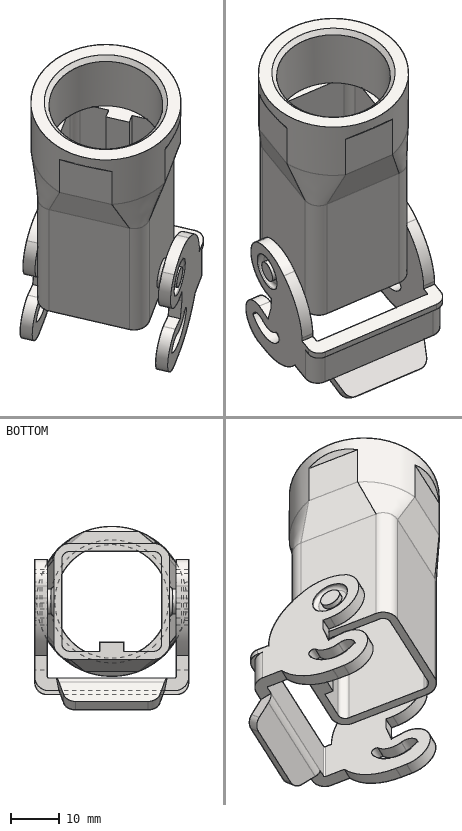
import cadquery as cq
import math

HOOD_TOP_Z = 75.7
FLAT_TOP_Z = 71.8
COLLAR_BOTTOM_Z = 61.15
SQUARE_TOP_Z = 51.6
HOOD_BOTTOM_Z = 18.6

COLLAR_RADIUS = 15.6
FLAT_DISTANCE = 14.5
SQUARE_HALF = 12.0
SQUARE_CORNER_RADIUS = 3.3
WALL = 1.7
BORE_RADIUS = 11.8
BORE_CHAMFER = 1.0
BORE_BOTTOM_Z = 60.2
KEY_WIDTH = 5.1
KEY_HEIGHT = 1.9

CLAMP_WIDTH = 32.0
CLAMP_HALF_WIDTH = CLAMP_WIDTH / 2
SHEET = 2.65
INNER_BEND_RADIUS = 0.3
OUTER_BEND_RADIUS = INNER_BEND_RADIUS + SHEET
BACK_OUTER_Y = 18.55
BACK_INNER_Y = BACK_OUTER_Y - SHEET
BACK_JOIN_Y = 12.9
BACK_BOTTOM_Z = 6.3
BACK_TOP_Z = 16.3
RIM_THICKNESS = 1.5
RIM_OUTER_Y = 19.4
RIM_CORNER_RADIUS = 2.6

PIVOT_Z = 24.3
EYE_RADIUS = 6.65
EYE_END_Y = -3.9
CREST_Y = 1.1
CREST_Z = 31.0
SHOULDER_START = (6.8, 29.2)
SHOULDER_MID = (11.7, 24.6)
SHOULDER_END = (14.2, 17.2)
BELLY_Y = -0.7
BELLY_RADIUS = 14.45
HOOK_Y = -3.2
HOOK_RADIUS = 5.5
HOOK_SLOT_RADIUS = 2.7
THROAT_Y = 1.6
THROAT_BEND_Z = 14.75
HOOK_ROOT = (0.4, 10.4)

SLOT_TIP = (-5.75, 6.2)
SLOT_BELLY = (-1.6, 4.0)
SLOT_LOW_END = (4.9, 8.1)
SLOT_END = (4.6, 9.0)
SLOT_HIGH_END = (3.5, 9.15)
SLOT_BUMP = (0.15, 7.5)
SLOT_JOIN = (-2.0, 7.95)

PIN_RADIUS = 2.6
PIN_ROOT_FLARE = 0.6
PIN_END_RADIUS = 2.2
RECESS_RADIUS = 4.0
RECESS_FILLET = 0.8
RECESS_DEPTH = 1.1

TAB_SLOPE = 42.0
TAB_LENGTH = 5.4
TAB_ROOT_HALF_WIDTH = 11.5
TAB_END_HALF_WIDTH = 9.45
TAB_CORNER_RADIUS = 2.5


def flatted_circle(z):
    """Circle with four flats, drawn counter-clockwise."""
    half = math.sqrt(COLLAR_RADIUS**2 - FLAT_DISTANCE**2)
    return eight_sided_outline(z, FLAT_DISTANCE, half, COLLAR_RADIUS / math.sqrt(2))


def rounded_square(z):
    """Square with round corners, drawn counter-clockwise."""
    half = SQUARE_HALF - SQUARE_CORNER_RADIUS
    return eight_sided_outline(z, SQUARE_HALF, half, half + SQUARE_CORNER_RADIUS / math.sqrt(2))


def eight_sided_outline(z, side, half, diagonal):
    """Four straight sides joined by corner arcs that pass through (diagonal, diagonal)."""
    edges = []
    for quarter in range(4):
        turn = quarter * 90
        points = [(side, -half, z), (side, half, z), (diagonal, diagonal, z), (half, side, z)]
        corners = [cq.Vertex.makeVertex(*p).rotate((0, 0, 0), (0, 0, 1), turn).Center() for p in points]
        edges.append(cq.Edge.makeLine(corners[0], corners[1]))
        edges.append(cq.Edge.makeThreePointArc(corners[1], corners[2], corners[3]))
    return cq.Wire.assembleEdges(edges)


def make_collar():
    """Round collar; each flat ends at the top in a 45 degree ceiling."""
    collar = cq.Workplane("XY", origin=(0, 0, COLLAR_BOTTOM_Z)).circle(COLLAR_RADIUS)
    collar = collar.extrude(HOOD_TOP_Z - COLLAR_BOTTOM_Z)
    reach = 2 * (COLLAR_RADIUS - FLAT_DISTANCE)
    flat = (
        cq.Workplane("XZ")
        .moveTo(FLAT_DISTANCE, COLLAR_BOTTOM_Z)
        .lineTo(FLAT_DISTANCE, FLAT_TOP_Z)
        .line(reach, reach)
        .lineTo(FLAT_DISTANCE + reach, COLLAR_BOTTOM_Z)
        .close()
        .extrude(COLLAR_RADIUS, both=True)
    )
    for quarter in range(4):
        collar = collar.cut(flat.rotate((0, 0, 0), (0, 0, 1), quarter * 90))
    return collar


def make_hood():
    """Hollow hood, round at the top and square below, with a key rib inside."""
    transition = cq.Solid.makeLoft([rounded_square(SQUARE_TOP_Z), flatted_circle(COLLAR_BOTTOM_Z)], True)
    tube_height = SQUARE_TOP_Z - HOOD_BOTTOM_Z
    tube = cq.Workplane("XY", origin=(0, 0, HOOD_BOTTOM_Z)).rect(2 * SQUARE_HALF, 2 * SQUARE_HALF)
    tube = tube.extrude(tube_height).edges("|Z").fillet(SQUARE_CORNER_RADIUS)
    hood = make_collar().union(cq.Workplane(transition)).union(tube)

    bore = cq.Workplane("XY", origin=(0, 0, BORE_BOTTOM_Z)).circle(BORE_RADIUS)
    bore = bore.extrude(HOOD_TOP_Z - BORE_BOTTOM_Z)
    mouth = cq.Solid.makeCone(
        BORE_RADIUS, BORE_RADIUS + BORE_CHAMFER, BORE_CHAMFER, cq.Vector(0, 0, HOOD_TOP_Z - BORE_CHAMFER)
    )
    cavity_half = SQUARE_HALF - WALL
    cavity_height = BORE_BOTTOM_Z - HOOD_BOTTOM_Z
    cavity = cq.Workplane("XY", origin=(0, 0, HOOD_BOTTOM_Z)).rect(2 * cavity_half, 2 * cavity_half)
    cavity = cavity.extrude(cavity_height).edges("|Z").fillet(SQUARE_CORNER_RADIUS - WALL)
    key = cq.Workplane("XY", origin=(0, cavity_half - KEY_HEIGHT / 2, HOOD_BOTTOM_Z))
    key = key.rect(KEY_WIDTH, KEY_HEIGHT).extrude(cavity_height)
    return hood.cut(bore).cut(cq.Workplane(mouth)).cut(cavity.cut(key))


def make_lever():
    """Side lever at -X, from the back wall to the hook."""
    eye_end = (EYE_END_Y, PIVOT_Z + math.sqrt(EYE_RADIUS**2 - EYE_END_Y**2))
    diagonal = math.sqrt(0.5)
    belly_start_y = BELLY_Y + math.sqrt(BELLY_RADIUS**2 - (BELLY_RADIUS - BACK_BOTTOM_Z) ** 2)
    belly_mid = (BELLY_Y + BELLY_RADIUS * diagonal, BELLY_RADIUS * (1 - diagonal))
    outline = (
        cq.Workplane("YZ", origin=(-CLAMP_HALF_WIDTH, 0, 0))
        .moveTo(0, PIVOT_Z - EYE_RADIUS)
        .threePointArc((-EYE_RADIUS, PIVOT_Z), eye_end)
        .threePointArc((CREST_Y, CREST_Z), SHOULDER_START)
        .threePointArc(SHOULDER_MID, SHOULDER_END)
        .lineTo(SHOULDER_END[0], BACK_TOP_Z)
        .lineTo(BACK_OUTER_Y - OUTER_BEND_RADIUS, BACK_TOP_Z)
        .lineTo(BACK_OUTER_Y - OUTER_BEND_RADIUS, BACK_BOTTOM_Z)
        .lineTo(belly_start_y, BACK_BOTTOM_Z)
        .threePointArc(belly_mid, (BELLY_Y, 0))
        .lineTo(HOOK_Y, 0)
        .threePointArc((HOOK_Y - HOOK_RADIUS, HOOK_RADIUS), (HOOK_Y, 2 * HOOK_RADIUS))
        .lineTo(*HOOK_ROOT)
        .lineTo(THROAT_Y, THROAT_BEND_Z)
        .lineTo(THROAT_Y, PIVOT_Z - EYE_RADIUS)
        .close()
        .extrude(SHEET)
    )
    slot = (
        cq.Workplane("YZ", origin=(-CLAMP_HALF_WIDTH, 0, 0))
        .moveTo(*SLOT_TIP)
        .threePointArc(SLOT_BELLY, SLOT_LOW_END)
        .threePointArc(SLOT_END, SLOT_HIGH_END)
        .threePointArc(SLOT_BUMP, SLOT_JOIN)
        .threePointArc((HOOK_Y, HOOK_RADIUS + HOOK_SLOT_RADIUS), SLOT_TIP)
        .close()
        .extrude(SHEET)
    )
    recess = (
        cq.Workplane("YZ", origin=(-CLAMP_HALF_WIDTH, 0, 0))
        .center(0, PIVOT_Z)
        .circle(RECESS_RADIUS)
        .extrude(RECESS_DEPTH)
        .faces(">X")
        .edges()
        .fillet(RECESS_FILLET)
    )
    return outline.cut(slot).cut(recess)


def make_pin():
    """Pivot at -X: flared at the hood wall, slimmer in the recess, flush with the lever."""
    floor_x = -CLAMP_HALF_WIDTH + RECESS_DEPTH
    return (
        cq.Workplane("XZ")
        .moveTo(-SQUARE_HALF + WALL / 2, PIVOT_Z)
        .lineTo(-SQUARE_HALF + WALL / 2, PIVOT_Z + PIN_RADIUS + PIN_ROOT_FLARE)
        .lineTo(-SQUARE_HALF, PIVOT_Z + PIN_RADIUS + PIN_ROOT_FLARE)
        .lineTo(-SQUARE_HALF - PIN_ROOT_FLARE, PIVOT_Z + PIN_RADIUS)
        .lineTo(floor_x, PIVOT_Z + PIN_RADIUS)
        .lineTo(floor_x, PIVOT_Z + PIN_END_RADIUS)
        .lineTo(-CLAMP_HALF_WIDTH, PIVOT_Z + PIN_END_RADIUS)
        .lineTo(-CLAMP_HALF_WIDTH, PIVOT_Z)
        .close()
        .revolve(360, (0, PIVOT_Z, 0), (1, PIVOT_Z, 0))
    )


def rounded_plate(half, outer_y, radius, bottom_z, height):
    """Flat block from inside the levers to outer_y, with its two outer corners rounded."""
    depth = outer_y - BACK_JOIN_Y
    plate = cq.Workplane("XY", origin=(0, outer_y - depth / 2, bottom_z))
    return plate.rect(2 * half, depth).extrude(height).edges("|Z and >Y").fillet(radius)


def make_back_wall():
    """Wall bent into the two levers, with a rim along its top edge."""
    wall_height = BACK_TOP_Z - BACK_BOTTOM_Z
    inner_half = CLAMP_HALF_WIDTH - SHEET
    rim_bottom_z = BACK_TOP_Z - RIM_THICKNESS
    wall = rounded_plate(CLAMP_HALF_WIDTH, BACK_OUTER_Y, OUTER_BEND_RADIUS, BACK_BOTTOM_Z, wall_height)
    rim = rounded_plate(CLAMP_HALF_WIDTH, RIM_OUTER_Y, RIM_CORNER_RADIUS, rim_bottom_z, RIM_THICKNESS)
    opening = rounded_plate(inner_half, BACK_INNER_Y, INNER_BEND_RADIUS, BACK_BOTTOM_Z, wall_height)
    return wall.union(rim).cut(opening)


def make_tab():
    """Sheet bent outwards below the wall, tapering to a round-cornered end."""
    slope = math.radians(TAB_SLOPE)
    out_y, out_z = math.cos(slope), -math.sin(slope)
    hinge = (BACK_OUTER_Y, BACK_BOTTOM_Z)
    end = (hinge[0] + TAB_LENGTH * out_y, hinge[1] + TAB_LENGTH * out_z)
    under_end = (end[0] + SHEET * out_z, end[1] - SHEET * out_y)
    under_hinge = (hinge[0] + SHEET * out_z, hinge[1] - SHEET * out_y)
    half_turn = (math.pi / 2 - slope) / 2
    bend_mid = (hinge[0] - SHEET * math.cos(half_turn), hinge[1] - SHEET * math.sin(half_turn))
    sheet = (
        cq.Workplane("YZ")
        .moveTo(*hinge)
        .lineTo(*end)
        .lineTo(*under_end)
        .lineTo(*under_hinge)
        .threePointArc(bend_mid, (BACK_INNER_Y, BACK_BOTTOM_Z))
        .close()
        .extrude(CLAMP_HALF_WIDTH, both=True)
    )
    root = SHEET * out_y
    outline = (
        cq.Workplane("XY")
        .moveTo(-TAB_ROOT_HALF_WIDTH, -root)
        .lineTo(-TAB_END_HALF_WIDTH, TAB_LENGTH)
        .lineTo(TAB_END_HALF_WIDTH, TAB_LENGTH)
        .lineTo(TAB_ROOT_HALF_WIDTH, -root)
        .close()
        .extrude(2 * SHEET, both=True)
        .edges("|Z and >Y")
        .fillet(TAB_CORNER_RADIUS)
        .rotate((0, 0, 0), (1, 0, 0), -TAB_SLOPE)
        .translate((0, *hinge))
    )
    return sheet.intersect(outline)


side = make_lever().union(make_pin())
clamp = make_back_wall().union(side).union(side.mirror("YZ")).union(make_tab())
result = make_hood().union(clamp)